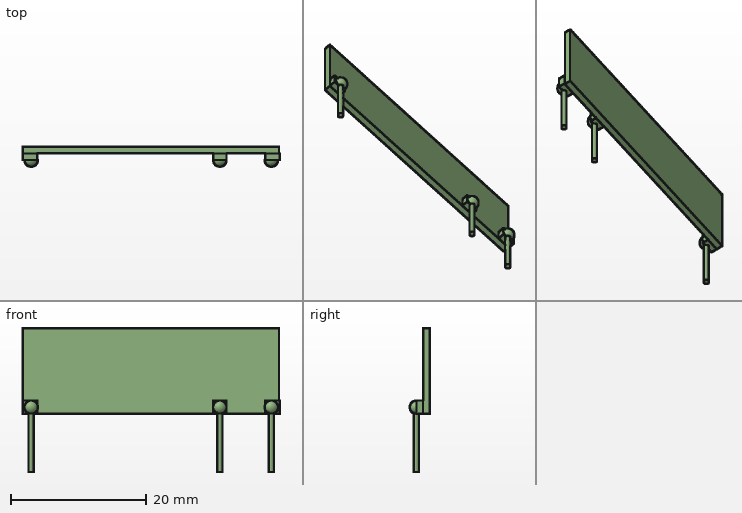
import cadquery as cq


board_length = 38.0
board_thickness = 1.0
board_height = 12.7

pitch = 2.54
pin_grid_steps = (0, 11, 14)
pin_positions = [pitch / 2 + step * pitch for step in pin_grid_steps]
pin_diameter = 0.8
pin_drop = 8.6

pad_depth = 1.0
pad_height = 2.0
pad_edges = [(0.0, 2.2), (28.2, 30.2), (35.9, 38.1)]

pin_y = -pad_depth
dome_radius = 1.0
dome_z = pad_height / 2


def make_board():
    return cq.Workplane("XY").box(board_length, board_thickness, board_height, centered=False)


def make_pin(x):
    """Round pin from its lower tip up to the centre of the dome."""
    return (
        cq.Workplane("XY", origin=(x, pin_y, -pin_drop))
        .circle(pin_diameter / 2)
        .extrude(pin_drop + dome_z)
    )


def make_pad(left, right, pin):
    """Rectangular pad with a half-round channel where the pin is let in."""
    pad = cq.Workplane("XY", origin=(left, -pad_depth, 0)).box(
        right - left, pad_depth, pad_height, centered=False
    )
    return pad.cut(pin)


def make_dome(x, pin):
    """Half ball standing on the pad's front face, bored for the top of the pin."""
    ball = cq.Workplane("XY", origin=(x, pin_y, dome_z)).sphere(dome_radius)
    front_half = cq.Workplane("XY", origin=(x, pin_y - dome_radius / 2, dome_z)).box(
        2 * dome_radius, dome_radius, 2 * dome_radius
    )
    return ball.intersect(front_half).cut(pin)


bodies = [make_board().val()]
for pin_x, (pad_left, pad_right) in zip(pin_positions, pad_edges):
    pin = make_pin(pin_x)
    pad = make_pad(pad_left, pad_right, pin)
    dome = make_dome(pin_x, pin)
    bodies += [pin.val(), pad.val(), dome.val()]

result = cq.Compound.makeCompound(bodies)